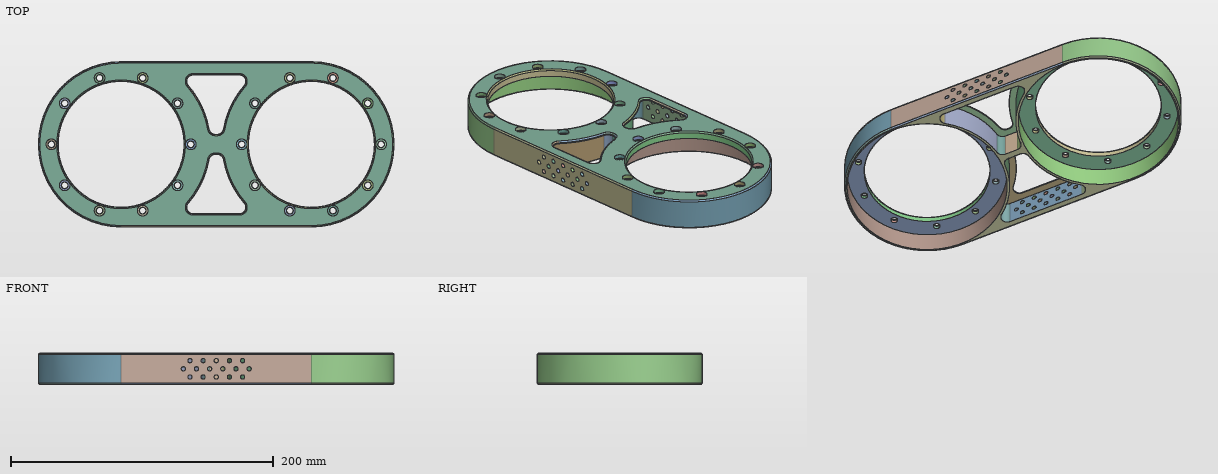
import cadquery as cq
import math

length = 271.0
width = 126.0
height = 24.0
end_radius = width / 2
ring_offset = length / 2 - end_radius
top_z = height / 2
bottom_z = -top_z
edge_chamfer = 1.0

bore_radius = 48.0
bore_pocket_radius = 61.0
bore_lip_thickness = 6.0

screw_count = 10
screw_circle_radius = 53.0
screw_diameter = 5.0
counterbore_diameter = 8.0
counterbore_depth = 3.0

throat_outer_y = 52.8
throat_inner_y = 7.5
throat_ring_radius = 68.0
throat_fillet = 5.0
window_pocket_margin = 5.1
window_pocket_fillet = 5.0
window_lip_thickness = 2.0

vent_diameter = 3.3
vent_pitch = 10.0
vent_row_spacing = 6.2
vent_rows = ((-1, 5), (0, 6), (1, 5))
side_wall = end_radius - throat_outer_y - window_pocket_margin


def make_body():
    """Flat stadium with chamfered top and bottom edges."""
    return (
        cq.Workplane("XY", origin=(0, 0, bottom_z))
        .slot2D(length, width)
        .extrude(height)
        .faces("<Z or >Z")
        .chamfer(edge_chamfer)
    )


def bore_cutter(side):
    """Stepped opening of the ring on the given X side, with a chamfered top rim."""
    centre_x = side * ring_offset
    chamfer_z = top_z - edge_chamfer
    lip_z = top_z - bore_lip_thickness
    profile = [
        (0, bottom_z),
        (bore_pocket_radius, bottom_z),
        (bore_pocket_radius, lip_z),
        (bore_radius, lip_z),
        (bore_radius, chamfer_z),
        (bore_radius + edge_chamfer, top_z),
        (0, top_z),
    ]
    cutter = cq.Workplane("XZ").polyline(profile).close().revolve(360, (0, 0), (0, 1))
    return cutter.translate((centre_x, 0, 0))


def window_prism(margin, fillet, prism_top):
    """Window outline on the +Y side, grown outward by margin, from the underside up to prism_top."""
    arc_radius = throat_ring_radius - margin
    inner_y = throat_inner_y - margin
    outer_y = throat_outer_y + margin
    middle_y = (inner_y + outer_y) / 2

    def arc_x(y):
        return ring_offset - math.sqrt(arc_radius**2 - y**2)

    return (
        cq.Workplane("XY", origin=(0, 0, bottom_z))
        .moveTo(-arc_x(inner_y), inner_y)
        .lineTo(arc_x(inner_y), inner_y)
        .threePointArc((arc_x(middle_y), middle_y), (arc_x(outer_y), outer_y))
        .lineTo(-arc_x(outer_y), outer_y)
        .threePointArc((-arc_x(middle_y), middle_y), (-arc_x(inner_y), inner_y))
        .close()
        .extrude(prism_top - bottom_z)
        .edges("|Z")
        .fillet(fillet)
    )


def cut_windows(body):
    """Cut both throats, chamfer their top rims, then hollow out the pockets below."""
    throat = window_prism(0, throat_fillet, top_z)
    pocket = window_prism(window_pocket_margin, window_pocket_fillet, top_z - window_lip_thickness)
    body = body.cut(throat).cut(throat.mirror("XZ"))
    rim_reach = throat_outer_y + edge_chamfer
    rim_zone = cq.selectors.BoxSelector(
        (-ring_offset + bore_radius, -rim_reach, top_z - edge_chamfer / 2),
        (ring_offset - bore_radius, rim_reach, top_z + edge_chamfer / 2),
    )
    body = body.edges(rim_zone).chamfer(edge_chamfer)
    return body.cut(pocket).cut(pocket.mirror("XZ"))


def drill_screws(body):
    """Ring of counterbored holes around each bore."""
    for side in (-1, 1):
        body = (
            body.faces(">Z")
            .workplane(origin=(side * ring_offset, 0, top_z))
            .polarArray(screw_circle_radius, 0, 360, screw_count)
            .cboreHole(screw_diameter, counterbore_diameter, counterbore_depth)
        )
    return body


def vent_cutter():
    """Staggered holes through the -Y side wall into the window pocket."""
    points = [
        ((index - (count - 1) / 2) * vent_pitch, row * vent_row_spacing)
        for row, count in vent_rows
        for index in range(count)
    ]
    return (
        cq.Workplane("XZ", origin=(0, -end_radius, 0))
        .pushPoints(points)
        .circle(vent_diameter / 2)
        .extrude(-side_wall)
    )


result = cut_windows(make_body())
for bore_side in (-1, 1):
    result = result.cut(bore_cutter(bore_side))
result = drill_screws(result)
vents = vent_cutter()
result = result.cut(vents).cut(vents.mirror("XZ"))